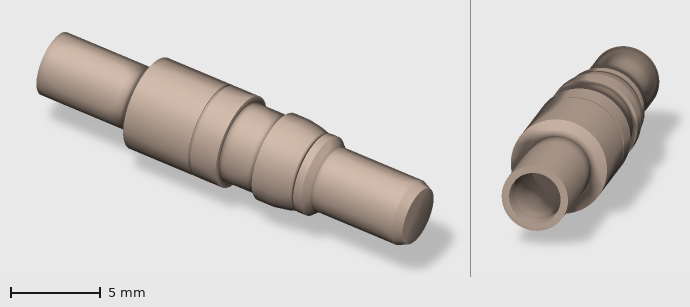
import cadquery as cq
import math

length = 23.7
tube_end = 5.78
body_start = 6.15
seam_start = 10.38
seam_width = 0.17
body_end = 12.18
collar_start = 14.45
taper_start = 15.45
taper_end = 16.7
groove_width = 0.12
lip_round = 0.17
ring_chamfer_start = 17.48
pin_start = 17.93
nose_length = 0.57

tube_radius = 1.9
bore_radius = 1.47
body_radius = 2.75
seam_depth = 0.07
neck_radius = 2.37
collar_radius = 2.63
taper_end_radius = 2.37
groove_radius = 1.85
pin_radius = 1.95
nose_radius = 1.68

bore_depth = tube_end

taper_bulge = 0.05
taper_middle = (
    (taper_start + taper_end) / 2,
    (collar_radius + taper_end_radius) / 2 + taper_bulge,
)

seam_end = seam_start + seam_width
seam_radius = body_radius - seam_depth
groove_start = taper_end + lip_round
groove_end = groove_start + groove_width
nose_start = length - nose_length

lip_middle = (
    taper_end + lip_round * math.sin(math.pi / 4),
    taper_end_radius - lip_round * (1 - math.cos(math.pi / 4)),
)


def turned_blank():
    """Solid of revolution about X, from a half profile in the XZ plane."""
    profile = cq.Workplane("XZ").moveTo(0, 0)

    profile = profile.lineTo(0, tube_radius).lineTo(tube_end, tube_radius)
    profile = profile.lineTo(body_start, body_radius)

    profile = profile.lineTo(seam_start, body_radius).lineTo(seam_start, seam_radius)
    profile = profile.lineTo(seam_end, seam_radius).lineTo(seam_end, body_radius)
    profile = profile.lineTo(body_end, body_radius)

    profile = profile.lineTo(body_end, neck_radius).lineTo(collar_start, neck_radius)
    profile = profile.lineTo(collar_start, collar_radius).lineTo(taper_start, collar_radius)
    profile = profile.threePointArc(taper_middle, (taper_end, taper_end_radius))

    profile = profile.threePointArc(lip_middle, (groove_start, taper_end_radius - lip_round))
    profile = profile.lineTo(groove_start, groove_radius)
    profile = profile.lineTo(groove_end, groove_radius).lineTo(groove_end, neck_radius)
    profile = profile.lineTo(ring_chamfer_start, neck_radius).lineTo(pin_start, pin_radius)

    profile = profile.lineTo(nose_start, pin_radius).lineTo(length, nose_radius)
    profile = profile.lineTo(length, 0).close()
    return profile.revolve(360, (0, 0, 0), (1, 0, 0))


bore = cq.Workplane("YZ").circle(bore_radius).extrude(bore_depth)

result = turned_blank().cut(bore)